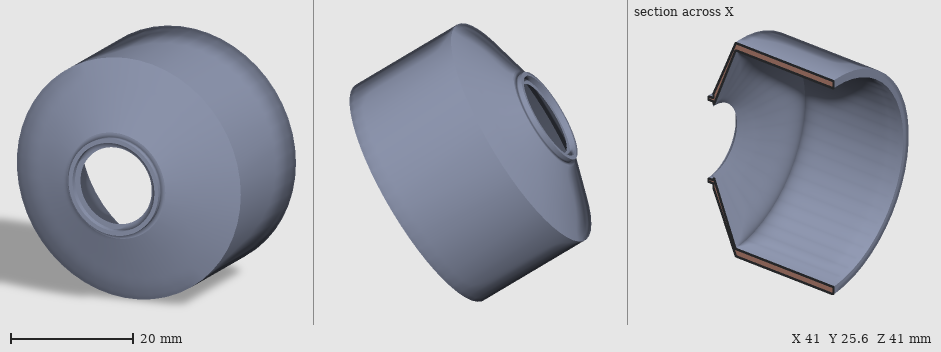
import cadquery as cq

body_diameter = 41.0
body_length = 20.0
cone_length = 4.6
shoulder_diameter = 18.0
collar_diameter = 16.5
collar_length = 1.0
recess_diameter = 15.0
recess_depth = 1.0
bore_diameter = 13.05
cavity_diameter = 38.0

total_length = body_length + cone_length + collar_length
back_y = total_length / 2
cone_base_y = back_y - body_length
shoulder_y = cone_base_y - cone_length
nose_y = shoulder_y - collar_length
recess_floor_y = nose_y + recess_depth

section = [
    (cavity_diameter / 2, cone_base_y),
    (cavity_diameter / 2, back_y),
    (body_diameter / 2, back_y),
    (body_diameter / 2, cone_base_y),
    (shoulder_diameter / 2, shoulder_y),
    (collar_diameter / 2, shoulder_y),
    (collar_diameter / 2, nose_y),
    (recess_diameter / 2, nose_y),
    (recess_diameter / 2, recess_floor_y),
    (bore_diameter / 2, recess_floor_y),
]

result = cq.Workplane("XY").polyline(section).close().revolve(360, (0, 0, 0), (0, 1, 0))